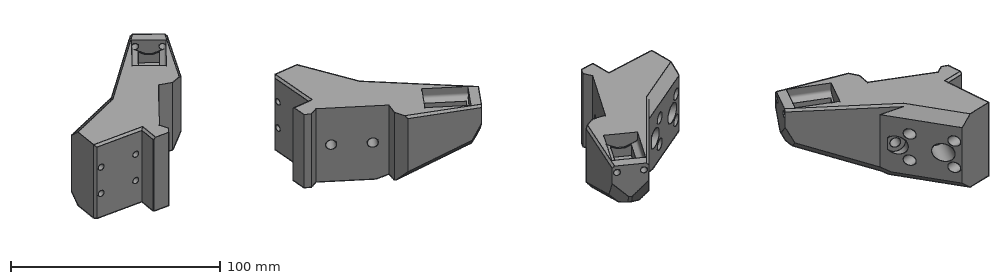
import cadquery as cq
import math

HEIGHT = 42.0
WIDTH_X = 80.8
DEPTH_Y = 82.9
MID_Z = HEIGHT / 2
FAR = 165.7

ARM_ANGLE = 33.5
TIP_WIDTH = 17.7
SIDE_TAPER = 10.0
ARM_END_S = 59.7
INNER_EDGE_T = 4.4
SHOULDER_S = 36.0
SHOULDER_NOSE = (42.0, 11.0)
ARM_ROOT_S = 44.1

UNDERSIDE_TIP_Z = 20.05
UNDERSIDE_END_S = 50.2
BEVEL_WIDTH = 4.7
BEVEL_RISE = 4.7
CORNER_TOP_Z = 32.0
CORNER_END_S = 4.6
TIP_FLAT_HALF = 0.9
TIP_FLAT_Z = 23.8
TIP_FLAT_S = 2.15

SLANT_FOOT_X = 50.6
SLANT_TOP_Y = 36.8
NOTCH_X = 70.85
NOTCH_Y = 27.0
EAR_SIDE_Y = 35.8
EAR_TIP = (77.7, 37.6)
EAR_ROOT_S = 79.0
SLANT_BEVEL = 5.1
SLANT_FACET_Y = 31.9
BLEND_LENGTH = 1.9
EDGE_CHAMFER = 1.2
EAR_CHAMFER = 0.3

SCREW_DIA = 3.3
SCREW_HEAD_DIA = 5.8
SCREW_FLANGE = 5.0
SCREW_Y = (3.6, 23.5)
SCREW_SPACING_Z = 15.0
BOLT_DIA = 5.3
BOLT_HEAD_DIA = 10.0
BOLT_S = (51.8, 71.75)
BOLT_SEAT_T = -18.65

POCKET_START_S = 5.05
POCKET_LENGTH = 22.1
PIN_DIA = 3.3
PIN_T = 6.55
PIN_DEPTH = 3.8
BED_EDGE_T = 7.3
LEDGE_T = 6.55
LEDGE_DEPTH = 5.6
VALLEY_T = 1.9
VALLEY_DEPTH = 7.7
WELL_LENGTH = 20.1
WELL_WIDTH = 10.1
WELL_DEPTH = 12.4

turn = math.radians(ARM_ANGLE)
along = (math.cos(turn), -math.sin(turn))
across = (math.sin(turn), math.cos(turn))
tip_center = (TIP_WIDTH / 2 * across[0], DEPTH_Y - TIP_WIDTH / 2 * across[1])
arm_plane = cq.Plane(origin=(*tip_center, 0), xDir=(*along, 0), normal=(0, 0, 1))


def arm_point(s, t, z=0.0):
    """Part coordinates of a point given in the arm frame."""
    return arm_plane.toWorldCoords((s, t, z)).toTuple()


def arm_half_width(s):
    return TIP_WIDTH / 2 + s * math.tan(math.radians(SIDE_TAPER))


def underside_z(s):
    return UNDERSIDE_TIP_Z * (1 - s / UNDERSIDE_END_S)


def bevel_top_z(s):
    return underside_z(s) + BEVEL_RISE


def side_point(side, s, z, inset=0.0):
    """Point on an arm side (-1 or 1), or moved inwards from it by the inset."""
    return arm_point(s, side * (arm_half_width(s) - inset), z)


def trim(body, points, up):
    """Remove what lies above (up) or below the plane through three points."""
    p, q, r = (cq.Vector(*point) for point in points)
    normal = (q - p).cross(r - p)
    if (normal.z > 0) != up:
        normal = -normal
    block = cq.Workplane(cq.Plane(origin=p, normal=normal)).rect(2 * FAR, 2 * FAR).extrude(FAR)
    return body.cut(block)


def arm_cylinder(s, t_start, t_end, diameter):
    """Cylinder across the arm at mid height."""
    direction = cq.Vector(*across, 0)
    start = cq.Vector(*arm_point(s, t_start, MID_Z))
    return cq.Workplane(cq.Solid.makeCylinder(diameter / 2, t_end - t_start, start, direction))


def make_arm():
    outline = [
        (0, -TIP_WIDTH / 2),
        (ARM_END_S, -arm_half_width(ARM_END_S)),
        (ARM_END_S, INNER_EDGE_T),
        (ARM_ROOT_S, INNER_EDGE_T),
        SHOULDER_NOSE,
        (SHOULDER_S, arm_half_width(SHOULDER_S)),
        (0, TIP_WIDTH / 2),
    ]
    arm = cq.Workplane(arm_plane).polyline(outline).close().extrude(HEIGHT)
    chamfer_inset = EDGE_CHAMFER / math.cos(math.radians(SIDE_TAPER))
    for side in (-1, 1):
        top_chamfer = [
            side_point(side, 0, HEIGHT - EDGE_CHAMFER),
            side_point(side, ARM_END_S, HEIGHT - EDGE_CHAMFER),
            side_point(side, 0, HEIGHT, inset=chamfer_inset),
        ]
        side_bevel = [
            side_point(side, 0, bevel_top_z(0)),
            side_point(side, ARM_END_S, bevel_top_z(ARM_END_S)),
            side_point(side, 0, underside_z(0), inset=BEVEL_WIDTH),
        ]
        corner_facet = [
            side_point(side, 0, CORNER_TOP_Z),
            arm_point(0, side * TIP_FLAT_HALF, TIP_FLAT_Z),
            side_point(side, CORNER_END_S, bevel_top_z(CORNER_END_S)),
        ]
        arm = trim(arm, top_chamfer, up=True)
        arm = trim(arm, side_bevel, up=False)
        arm = trim(arm, corner_facet, up=False)
    tip_flat = [
        arm_point(0, -TIP_FLAT_HALF, TIP_FLAT_Z),
        arm_point(0, TIP_FLAT_HALF, TIP_FLAT_Z),
        arm_point(TIP_FLAT_S, 0, underside_z(TIP_FLAT_S)),
    ]
    return trim(arm, tip_flat, up=False)


def make_base():
    slant_foot = (SLANT_FOOT_X, 0)
    side_slope = math.tan(turn + math.radians(SIDE_TAPER))
    tip_corner_x, tip_corner_y, _ = side_point(-1, 0, 0)
    slant_top = (tip_corner_x + (tip_corner_y - SLANT_TOP_Y) / side_slope, SLANT_TOP_Y)
    outline = [
        slant_top,
        slant_foot,
        (NOTCH_X, 0),
        (NOTCH_X, NOTCH_Y),
        (WIDTH_X, NOTCH_Y),
        (WIDTH_X, EAR_SIDE_Y),
        EAR_TIP,
        arm_point(EAR_ROOT_S, INNER_EDGE_T)[:2],
        arm_point(ARM_ROOT_S, INNER_EDGE_T)[:2],
    ]
    base = cq.Workplane("XY").polyline(outline).close().extrude(HEIGHT)

    def edge_near(x, y, z):
        return cq.selectors.NearestToPointSelector((x, y, z))

    base = base.edges(edge_near(NOTCH_X, 0, MID_Z)).chamfer(EDGE_CHAMFER)
    base = base.edges(edge_near(WIDTH_X, NOTCH_Y, MID_Z)).chamfer(EAR_CHAMFER)
    notch_side_rim = edge_near(NOTCH_X, NOTCH_Y / 2, HEIGHT)
    notch_end_rim = edge_near((NOTCH_X + WIDTH_X) / 2, NOTCH_Y, HEIGHT)
    base = base.edges(notch_side_rim + notch_end_rim).chamfer(EDGE_CHAMFER)

    slant_run = (slant_foot[0] - slant_top[0]) / SLANT_TOP_Y
    bevel_x = SLANT_BEVEL * math.hypot(1, slant_run)
    for edge_z, bevel_z, up in (
        (HEIGHT, HEIGHT - SLANT_BEVEL, True),
        (0, SLANT_BEVEL, False),
    ):
        bevel = [(*slant_top, bevel_z), (*slant_foot, bevel_z), (SLANT_FOOT_X + bevel_x, 0, edge_z)]
        base = trim(base, bevel, up)

    slant_top_s = arm_plane.toLocalCoords(cq.Vector(*slant_top, 0)).x
    blend_s = slant_top_s + BLEND_LENGTH
    blend_facet = [
        (*slant_top, bevel_top_z(slant_top_s)),
        (SLANT_FOOT_X - slant_run * SLANT_FACET_Y, SLANT_FACET_Y, SLANT_BEVEL),
        side_point(-1, blend_s, underside_z(blend_s), inset=BEVEL_WIDTH),
    ]
    return trim(base, blend_facet, up=False)


def cut_screw_holes(body):
    holes = cq.Workplane("YZ").pushPoints(
        [(y, MID_Z + side * SCREW_SPACING_Z / 2) for y in SCREW_Y for side in (-1, 1)]
    )
    body = body.cut(holes.circle(SCREW_DIA / 2).extrude(WIDTH_X))
    return body.cut(holes.circle(SCREW_HEAD_DIA / 2).extrude(NOTCH_X - SCREW_FLANGE))


def cut_bolt_holes(body):
    for s in BOLT_S:
        body = body.cut(arm_cylinder(s, -FAR, BOLT_SEAT_T, BOLT_HEAD_DIA))
        body = body.cut(arm_cylinder(s, BOLT_SEAT_T, FAR, BOLT_DIA))
    return body


def cut_pocket(body):
    pin_z = HEIGHT - PIN_DEPTH
    pin_radius = PIN_DIA / 2
    wall_t = PIN_T + pin_radius
    bed_edge_z = pin_z - math.sqrt(pin_radius**2 - (BED_EDGE_T - PIN_T) ** 2)
    half_section = [
        (wall_t, HEIGHT),
        (wall_t, pin_z),
        (BED_EDGE_T, bed_edge_z),
        (LEDGE_T, HEIGHT - LEDGE_DEPTH),
        (VALLEY_T, HEIGHT - VALLEY_DEPTH),
    ]
    other_half = [(-t, z) for t, z in reversed(half_section)]
    section_plane = cq.Plane(origin=arm_point(POCKET_START_S, 0), xDir=(*across, 0), normal=(*along, 0))
    trough = cq.Workplane(section_plane).polyline(half_section + other_half).close().extrude(POCKET_LENGTH)
    well = (
        cq.Workplane(arm_plane)
        .workplane(offset=HEIGHT - WELL_DEPTH)
        .center(POCKET_START_S + POCKET_LENGTH / 2, 0)
        .rect(WELL_LENGTH, WELL_WIDTH)
        .extrude(WELL_DEPTH)
    )
    body = body.cut(trough).cut(well)
    for side in (-1, 1):
        start = cq.Vector(*arm_point(0, side * PIN_T, pin_z))
        pin_length = POCKET_START_S + POCKET_LENGTH
        pin = cq.Solid.makeCylinder(pin_radius, pin_length, start, cq.Vector(*along, 0))
        body = body.cut(cq.Workplane(pin))
    return body


def slope_underside(body):
    underside = [
        arm_point(0, -TIP_WIDTH / 2, underside_z(0)),
        arm_point(0, TIP_WIDTH / 2, underside_z(0)),
        arm_point(UNDERSIDE_END_S, 0, 0),
    ]
    return trim(body, underside, up=False)


bracket = slope_underside(make_base().union(make_arm()))
bracket = cut_screw_holes(bracket)
bracket = cut_bolt_holes(bracket)
result = cut_pocket(bracket)